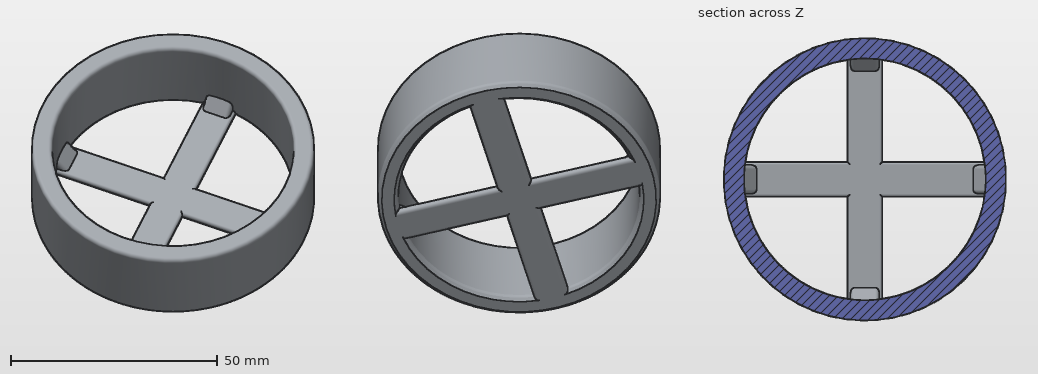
import cadquery as cq

outer_diameter = 68.5
inner_diameter = 58.5
height = 22.0
rim_fillet = 1.0
bottom_chamfer = 1.0
chamfer_blend = 1.0

spoke_width = 8.5
spoke_thickness = 2.0
spoke_top_fillet = 0.7
spoke_bottom_fillet = 1.0
spoke_count = 4

gusset_width = 7.0
gusset_length = 3.0
gusset_height = 3.0
gusset_fillet = 1.0

outer_radius = outer_diameter / 2
inner_radius = inner_diameter / 2
wall_middle_radius = (outer_radius + inner_radius) / 2


def make_ring():
    """Ring with rounded top edges and chamfers below that blend softly into the walls."""
    ring = cq.Workplane("XY").circle(outer_radius).circle(inner_radius).extrude(height)
    ring = ring.faces(">Z").edges().fillet(rim_fillet)
    ring = ring.faces("<Z").edges().chamfer(bottom_chamfer)
    blend_band = cq.selectors.BoxSelector(
        (-outer_diameter, -outer_diameter, bottom_chamfer / 2),
        (outer_diameter, outer_diameter, 3 * bottom_chamfer / 2),
        boundingbox=True,
    )
    return ring.edges(blend_band).edges("%CIRCLE").fillet(chamfer_blend)


def make_cross():
    """Two crossing bars, rounded above and below, ending inside the wall."""
    length = 2 * wall_middle_radius
    cross = cq.Workplane("XY").rect(length, spoke_width).extrude(spoke_thickness)
    cross = cross.union(cq.Workplane("XY").rect(spoke_width, length).extrude(spoke_thickness))
    cross = cross.faces(">Z").edges().fillet(spoke_top_fillet)
    return cross.faces("<Z").edges().fillet(spoke_bottom_fillet)


def make_gusset():
    """Ramp on the +X spoke, with rounded edges along both sides of its slope."""
    toe = inner_radius - gusset_length
    slope = gusset_height / gusset_length
    top = spoke_thickness + slope * (wall_middle_radius - toe)
    ramp = (
        cq.Workplane("XZ")
        .moveTo(toe, spoke_thickness)
        .lineTo(wall_middle_radius, top)
        .lineTo(wall_middle_radius, spoke_thickness)
        .close()
        .extrude(gusset_width / 2, both=True)
    )
    return ramp.edges("not(|Y or |X or |Z)").fillet(gusset_fillet)


result = make_ring().union(make_cross())
gusset = make_gusset()
for index in range(spoke_count):
    angle = index * 360 / spoke_count
    result = result.union(gusset.rotate((0, 0, 0), (0, 0, 1), angle))